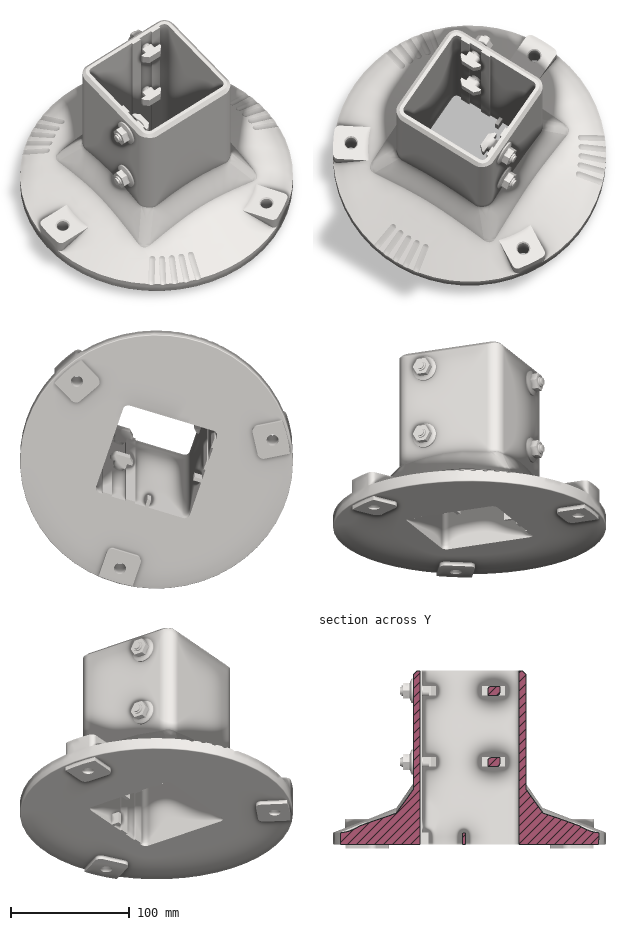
import cadquery as cq
import math

FLANGE_RADIUS = 115.0
FOOT_HEIGHT = 3.5
RIM_TOP = 13.5
CONE_DROP_PER_RADIUS = 0.39
RIM_EDGE_RADIUS = 0.7

SOCKET_TOP = 150.0
SOCKET_WIDTH = 95.0
WALL = 6.0
SOCKET_CORNER_RADIUS = 11.0
BORE_CORNER_RADIUS = 4.5
SOCKET_TOP_CHAMFER = 3.0

FLARE_SIZE = 15.0
FLARE_CORE_INSET = 6.0
FLARE_TRIM_TOP = 57.0
FLARE_TRIM_RADIUS = 95.0

PAD_ANGLES = (-90.0, 30.0, 150.0)
PAD_WIDTH = 30.0
PAD_TOP = 25.0
PAD_BURIED_RADIUS = 80.0
PAD_CORNER_RADIUS = 4.5
PAD_HOLE_RADIUS = 100.0
PAD_HOLE_DIAMETER = 10.0
PAD_HOLE_CHAMFER = 1.0
FOOT_INNER_RADIUS = 85.0
FOOT_OUTER_RADIUS = 112.8
FOOT_CORNER_RADIUS = 5.0

GROOVE_SET_ANGLES = (90.0, 210.0, 330.0)
GROOVES_PER_SET = 5
GROOVE_STEP_ANGLE = 5.0
GROOVE_INNER_RADIUS = 92.0
GROOVE_WIDTH = 5.2
GROOVE_DEPTH = 1.0
GROOVE_RUNOUT = 10.0

BOLT_OFFSET = 20.3
BOLT_HEIGHTS = (73.0, 133.0)
WASHER_DIAMETER = 21.0
WASHER_RIM = 1.3
NUT_START = 2.8
NUT_END = 8.3
NUT_ACROSS_FLATS = 13.3
WASHER_CONE_TOP_DIAMETER = 13.3
THREAD_DIAMETER = 8.5
THREAD_END = 9.7
TIP_DIAMETER = 6.5
TIP_END = 11.2
NECK_START = 2.5
NECK_WIDTH = 10.5
NECK_CORNER_RADIUS = 3.0
HEAD_START = 7.4
HEAD_STRAIGHT_END = 9.2
HEAD_END = 13.2
HEAD_WIDTH = 19.6
HEAD_END_WIDTH = 11.6
HEAD_THICKNESS = 8.0

RIB_INNER_OFFSET = 6.0
RIB_WIDTH = 8.5
RIB_DEPTH = 1.6
TAB_OFFSET = -4.8
TAB_WIDTH = 3.2
TAB_DEPTH = 7.0
TAB_HEIGHT = 10.0

CUT_MARGIN = 1.0

HALF_SOCKET = SOCKET_WIDTH / 2
BORE_WIDTH = SOCKET_WIDTH - 2 * WALL
HALF_BORE = BORE_WIDTH / 2


def cone_height(radius):
    return RIM_TOP + CONE_DROP_PER_RADIUS * (FLANGE_RADIUS - radius)


def turned(shape, angle):
    return shape.rotate((0, 0, 0), (0, 0, 1), angle)


def revolved_about_z(points):
    """Solid of revolution from a closed (radius, height) outline."""
    return cq.Workplane("XZ").polyline(points).close().revolve(360, (0, 0), (0, 1))


def flange_with_pads():
    """Conical flange with level-topped pads, both trimmed to one round outline."""
    blank_radius = FLANGE_RADIUS + CUT_MARGIN
    flange = revolved_about_z(
        [
            (0, FOOT_HEIGHT),
            (blank_radius, FOOT_HEIGHT),
            (blank_radius, cone_height(blank_radius)),
            (0, cone_height(0)),
        ]
    )
    pad_length = blank_radius - PAD_BURIED_RADIUS
    pad = (
        cq.Workplane("XY")
        .box(pad_length, PAD_WIDTH, PAD_TOP - FOOT_HEIGHT, centered=(False, True, False))
        .translate((PAD_BURIED_RADIUS, 0, FOOT_HEIGHT))
    )
    for angle in PAD_ANGLES:
        flange = flange.union(turned(pad, angle))
    outline = cq.Workplane("XY").circle(FLANGE_RADIUS).extrude(SOCKET_TOP)
    flange = flange.intersect(outline)
    pad_corners = cq.selectors.BoxSelector(
        (-blank_radius, -blank_radius, RIM_TOP - CUT_MARGIN),
        (blank_radius, blank_radius, PAD_TOP + CUT_MARGIN),
        boundingbox=True,
    )
    flange = flange.edges(pad_corners).edges("|Z").fillet(PAD_CORNER_RADIUS)
    return flange.faces("<Z").edges().fillet(RIM_EDGE_RADIUS)


def corner_box(x_side, y_side, inner, bottom, top):
    """Selector for edges wholly within one quadrant, from `inner` outwards in X and Y."""
    return cq.selectors.BoxSelector(
        (x_side * inner, y_side * inner, bottom),
        (x_side * FLANGE_RADIUS, y_side * FLANGE_RADIUS, top),
        boundingbox=True,
    )


def flare():
    """Sloping skirt around the socket: a wide chamfer between a square core and the cone."""
    half_core = HALF_SOCKET - FLARE_CORE_INSET
    cone = revolved_about_z(
        [
            (0, RIM_TOP),
            (FLANGE_RADIUS, RIM_TOP),
            (0, cone_height(0)),
        ]
    )
    core = (
        cq.Workplane("XY")
        .box(2 * half_core, 2 * half_core, SOCKET_TOP - RIM_TOP, centered=(True, True, False))
        .translate((0, 0, RIM_TOP))
    )
    body = cone.union(core)
    reach = half_core + CUT_MARGIN
    joint = cq.selectors.BoxSelector(
        (-reach, -reach, RIM_TOP + CUT_MARGIN),
        (reach, reach, SOCKET_TOP - CUT_MARGIN),
        boundingbox=True,
    )
    slope = math.atan(CONE_DROP_PER_RADIUS)
    body = body.edges(joint).chamfer(FLARE_SIZE + FLARE_CORE_INSET / math.cos(slope))
    body = body.intersect(cq.Workplane("XY").circle(FLARE_TRIM_RADIUS).extrude(FLARE_TRIM_TOP))
    for x_side in (-1, 1):
        for y_side in (-1, 1):
            corner = corner_box(x_side, y_side, half_core - CUT_MARGIN, 0, SOCKET_TOP + CUT_MARGIN)
            body = body.edges(corner).fillet(SOCKET_CORNER_RADIUS)
    return body


def rounded_square(width, corner_radius, bottom, top):
    return (
        cq.Workplane("XY")
        .box(width, width, top - bottom, centered=(True, True, False))
        .edges("|Z")
        .fillet(corner_radius)
        .translate((0, 0, bottom))
    )


def socket_block():
    """Solid socket; each corner rounding runs up the wall and on over the mitred top chamfer."""
    post = rounded_square(SOCKET_WIDTH, SOCKET_CORNER_RADIUS, RIM_TOP, SOCKET_TOP)
    top_width = SOCKET_WIDTH - 2 * SOCKET_TOP_CHAMFER
    cap_height = SOCKET_TOP - RIM_TOP
    base_width = top_width + 2 * cap_height
    cap = (
        cq.Workplane("XY")
        .workplane(offset=RIM_TOP)
        .rect(base_width, base_width)
        .workplane(offset=cap_height)
        .rect(top_width, top_width)
        .loft(ruled=True)
        .edges("not #Z")
        .fillet(SOCKET_CORNER_RADIUS)
    )
    return post.intersect(cap)


def flange_with_socket():
    bore = rounded_square(BORE_WIDTH, BORE_CORNER_RADIUS, 0, SOCKET_TOP)
    return flange_with_pads().union(flare()).union(socket_block()).cut(bore)


def foot():
    """Foot along +X below a pad, with its outer end on an arc about the part axis."""
    length = FOOT_OUTER_RADIUS - FOOT_INNER_RADIUS
    outline = cq.Workplane("XY").circle(FOOT_OUTER_RADIUS).extrude(FOOT_HEIGHT)
    return (
        cq.Workplane("XY")
        .center(FOOT_INNER_RADIUS + length / 2, 0)
        .rect(length, PAD_WIDTH)
        .extrude(FOOT_HEIGHT)
        .intersect(outline)
        .edges("|Z and <X")
        .fillet(FOOT_CORNER_RADIUS)
    )


def pad_hole():
    """Through-hole cutter along the pad axis, with a countersunk upper rim."""
    radius = PAD_HOLE_DIAMETER / 2
    return revolved_about_z(
        [
            (0, 0),
            (radius, 0),
            (radius, PAD_TOP - PAD_HOLE_CHAMFER),
            (radius + PAD_HOLE_CHAMFER, PAD_TOP),
            (0, PAD_TOP),
        ]
    ).translate((PAD_HOLE_RADIUS, 0, 0))


def groove():
    """Round-ended channel cutter along +X, running out over the rim parallel to the cone."""
    half_width = GROOVE_WIDTH / 2
    tool_radius = (half_width**2 + GROOVE_DEPTH**2) / (2 * GROOVE_DEPTH)
    axis_lift = tool_radius - GROOVE_DEPTH
    slope = math.atan(CONE_DROP_PER_RADIUS)
    end_radius = GROOVE_INNER_RADIUS + half_width * math.cos(slope)
    start = cq.Vector(
        end_radius + axis_lift * math.sin(slope),
        0,
        cone_height(end_radius) + axis_lift * math.cos(slope),
    )
    direction = cq.Vector(math.cos(slope), 0, -math.sin(slope))
    length = FLANGE_RADIUS - GROOVE_INNER_RADIUS + GROOVE_RUNOUT
    channel = cq.Solid.makeCylinder(tool_radius, length, start, direction)
    rounded_end = cq.Workplane("XY").sphere(tool_radius).translate(start)
    return rounded_end.union(cq.Workplane(channel))


def disc(diameter, start, end):
    """Cylinder about the X axis between two X positions."""
    return cq.Workplane("YZ").workplane(offset=start).circle(diameter / 2).extrude(end - start)


def bolt():
    """Hammer-head bolt about the X axis: outer wall face at X = 0, nut to -X, head to +X."""
    washer = (
        cq.Workplane("XY")
        .moveTo(0, 0)
        .lineTo(0, WASHER_DIAMETER / 2)
        .lineTo(-WASHER_RIM, WASHER_DIAMETER / 2)
        .lineTo(-NUT_START, WASHER_CONE_TOP_DIAMETER / 2)
        .lineTo(-NUT_START, 0)
        .close()
        .revolve(360, (0, 0), (1, 0))
    )
    nut_across_corners = NUT_ACROSS_FLATS / math.cos(math.pi / 6)
    nut = (
        cq.Workplane("YZ")
        .workplane(offset=-NUT_END)
        .polygon(6, nut_across_corners)
        .extrude(NUT_END - NUT_START)
    )
    thread = disc(THREAD_DIAMETER, -THREAD_END, WALL + NECK_START)
    tip = disc(TIP_DIAMETER, -TIP_END, -THREAD_END)
    neck = (
        cq.Workplane("YZ")
        .workplane(offset=WALL + NECK_START)
        .rect(NECK_WIDTH, HEAD_THICKNESS)
        .extrude(HEAD_START - NECK_START)
    )
    neck = neck.edges("|X").edges(">(0,1,1) or <(0,1,1)").fillet(NECK_CORNER_RADIUS)
    head = (
        cq.Workplane("XY")
        .workplane(offset=-HEAD_THICKNESS / 2)
        .moveTo(WALL + HEAD_START, -HEAD_WIDTH / 2)
        .lineTo(WALL + HEAD_STRAIGHT_END, -HEAD_WIDTH / 2)
        .lineTo(WALL + HEAD_END, -HEAD_END_WIDTH / 2)
        .lineTo(WALL + HEAD_END, HEAD_END_WIDTH / 2)
        .lineTo(WALL + HEAD_STRAIGHT_END, HEAD_WIDTH / 2)
        .lineTo(WALL + HEAD_START, HEAD_WIDTH / 2)
        .close()
        .extrude(HEAD_THICKNESS)
    )
    return washer.union(nut).union(thread).union(tip).union(neck).union(head)


def wall_block(depth, center_y, width, bottom, top):
    """Block standing on the inner face of the -X wall and rooted halfway into it."""
    root = WALL / 2
    return (
        cq.Workplane("XY")
        .box(root + depth, width, top - bottom, centered=(False, True, False))
        .translate((-HALF_BORE - root, center_y, bottom))
    )


def wall_fittings(side):
    """Bolts, guide ribs and stop tab of the -X wall, set off to the +Y (1) or -Y (-1) side."""
    center_y = side * BOLT_OFFSET
    rib_shift = RIB_INNER_OFFSET + RIB_WIDTH / 2
    tab_top = FOOT_HEIGHT + TAB_HEIGHT
    fittings = wall_block(TAB_DEPTH, side * TAB_OFFSET, TAB_WIDTH, FOOT_HEIGHT, tab_top)
    for shift in (-rib_shift, rib_shift):
        rib = wall_block(RIB_DEPTH, center_y + shift, RIB_WIDTH, FOOT_HEIGHT, SOCKET_TOP)
        fittings = fittings.union(rib)
    for height in BOLT_HEIGHTS:
        fittings = fittings.union(bolt().translate((-HALF_SOCKET, center_y, height)))
    return fittings


result = flange_with_socket()
for angle in PAD_ANGLES:
    result = result.union(turned(foot(), angle))
    result = result.cut(turned(pad_hole(), angle))
for set_angle in GROOVE_SET_ANGLES:
    for index in range(GROOVES_PER_SET):
        angle = set_angle + (index - (GROOVES_PER_SET - 1) / 2) * GROOVE_STEP_ANGLE
        result = result.cut(turned(groove(), angle))
result = result.union(wall_fittings(1))
result = result.union(turned(wall_fittings(-1), 90))